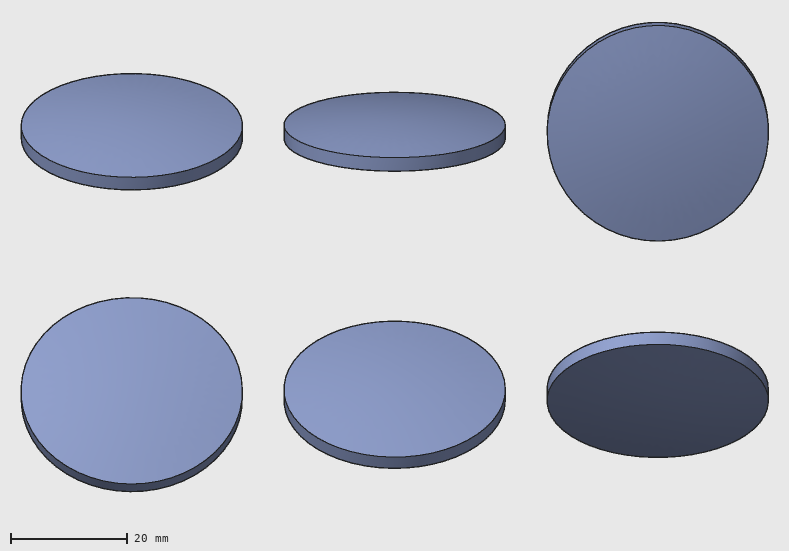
import cadquery as cq

diameter = 38.1
center_thickness = 5.85
rim_thickness = 2.48

radius = diameter / 2
half_center = center_thickness / 2
half_rim = rim_thickness / 2
cap_height = half_center - half_rim

sphere_radius = (radius**2 + cap_height**2) / (2 * cap_height)

half_section = (
    cq.Workplane("XZ")
    .moveTo(0, -half_center)
    .radiusArc((radius, -half_rim), -sphere_radius)
    .lineTo(radius, half_rim)
    .radiusArc((0, half_center), -sphere_radius)
    .close()
)

result = half_section.revolve(360, (0, 0, 0), (0, 1, 0))